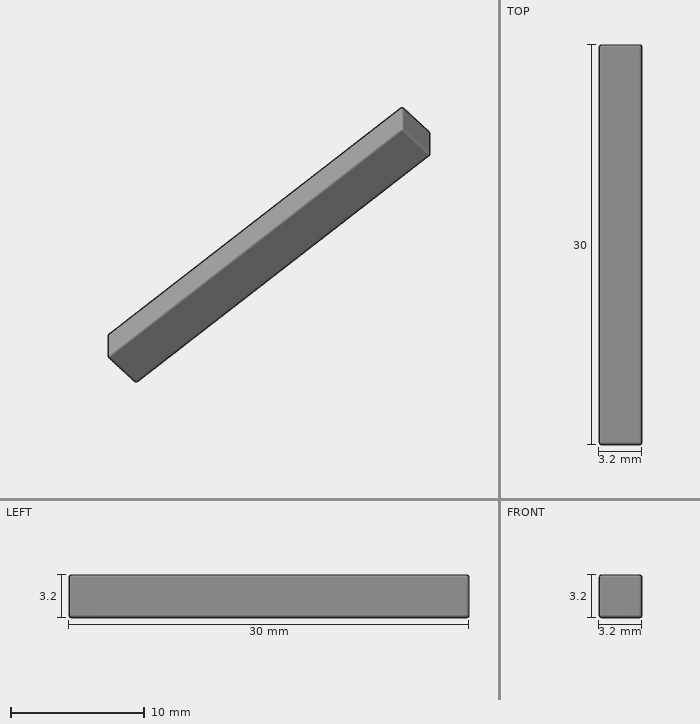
import cadquery as cq

bar_length = 30.0
bar_side = 3.2
edge_radius = 0.2

result = cq.Workplane("XY").box(bar_side, bar_length, bar_side).edges().fillet(edge_radius)